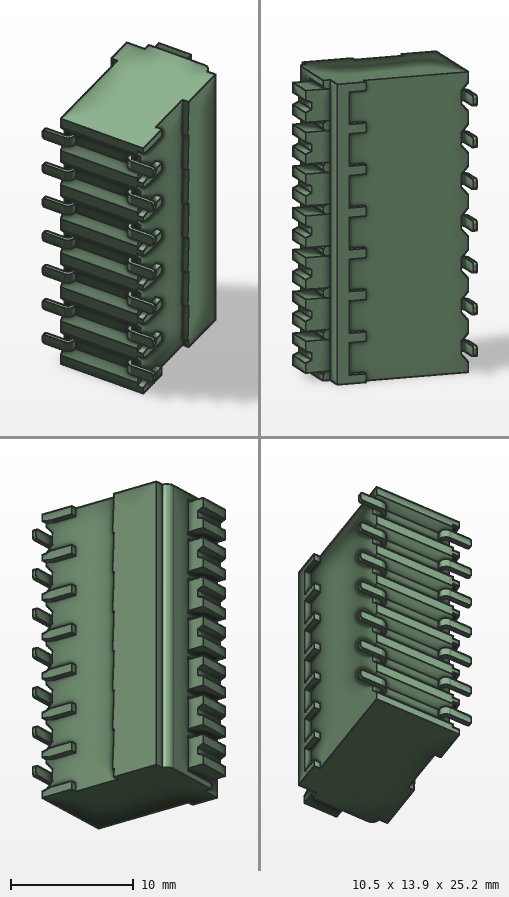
import cadquery as cq
LENGTH = 25.2
POLES = 7
PITCH = 3.5
POLE_HEIGHTS = [(i - (POLES - 1) / 2) * PITCH for i in range(POLES)]
DIVIDER_HEIGHTS = [(i - POLES / 2) * PITCH for i in range(POLES + 1)]

WALL_X = 3.63
FLANGE_X = 4.2
SHOULDER_Y = 11.57
CREST_Y = 12.2
CREST_LEFT = -2.5
CREST_RIGHT = 3.4
CREST_RADIUS = CREST_Y - SHOULDER_Y
LEFT_FLANGE_Y = 10.53
LEFT_RIB_Y = 9.07
RIGHT_FLANGE_Y = 7.25
RIGHT_FLANGE_LEAN = 0.13
RIB_HEIGHT = 0.78
TAB_DEPTH = 3.0
TAB_TIP_HEIGHT = 0.45
TAB_TAPER = 0.83

GROOVE_DEPTH = 0.6
GROOVE_MOUTH = 2.42
GROOVE_FLOOR = 1.05

PLUNGER_LEFT = -2.42
PLUNGER_RIGHT = 0.65
PLUNGER_HEIGHT = 2.67
PLUNGER_Y = 13.68
NOTCH_DEPTH = 0.53
NOTCH_MOUTH = 1.03
NOTCH_FLOOR = 0.55
DIVIDER_CHAMFER = 0.23

PIN_TIP_X = 5.255
PIN_FRONT_Y = -0.18
PIN_THICKNESS = 0.33
PIN_HEIGHT = 0.88
PIN_STEM_X = 2.57
PIN_BEND = 0.63
PIN_TIP_RADIUS = 0.25
PIN_EMBED_Y = 1.5


def box(x0, x1, y0, y1, z0, z1):
    """Axis-aligned block between two corners."""
    return cq.Workplane("XY").box(x1 - x0, y1 - y0, z1 - z0, centered=False).translate((x0, y0, z0))


def side_profile(points, x0, x1):
    """Closed (y, z) outline extruded along X from x0 to x1."""
    return cq.Workplane("YZ", origin=(x0, 0, 0)).polyline(points).close().extrude(x1 - x0)


def trapezoid(y_wide, wide, y_narrow, narrow, z):
    """Symmetric (y, z) trapezoid centred on height z."""
    return [
        (y_wide, z - wide / 2),
        (y_wide, z + wide / 2),
        (y_narrow, z + narrow / 2),
        (y_narrow, z - narrow / 2),
    ]


def housing():
    half = LENGTH / 2
    body = box(-WALL_X, WALL_X, 0, SHOULDER_Y, -half, half)
    body = body.union(box(-FLANGE_X, -WALL_X, LEFT_FLANGE_Y, SHOULDER_Y, -half, half))
    body = body.union(box(WALL_X, FLANGE_X, RIGHT_FLANGE_Y, SHOULDER_Y, -half, half))

    crest = box(CREST_LEFT, CREST_RIGHT, SHOULDER_Y, CREST_Y, -half, half)
    rounding = (
        cq.Workplane("XY", origin=(0, 0, -half))
        .moveTo(CREST_RIGHT - CREST_RADIUS, CREST_Y)
        .radiusArc((CREST_RIGHT, SHOULDER_Y), CREST_RADIUS)
        .lineTo(CREST_RIGHT, CREST_Y)
        .close()
        .extrude(LENGTH)
    )
    return body.union(crest.cut(rounding))


def left_rib(z):
    return box(-FLANGE_X, -WALL_X, LEFT_RIB_Y, LEFT_FLANGE_Y, z - RIB_HEIGHT / 2, z + RIB_HEIGHT / 2)


def right_tab(z):
    """Tab on the right wall, tapered towards its front tip."""
    tip = trapezoid(TAB_TAPER, RIB_HEIGHT, 0, TAB_TIP_HEIGHT, z)
    shank = box(WALL_X, FLANGE_X, TAB_TAPER, TAB_DEPTH, z - RIB_HEIGHT / 2, z + RIB_HEIGHT / 2)
    return shank.union(side_profile(tip, WALL_X, FLANGE_X))


def side_ribs():
    """Left ribs and right tabs on both sides of every pole, flush with the end faces."""
    ribs = cq.Workplane("XY")
    for z in DIVIDER_HEIGHTS:
        ribs = ribs.union(left_rib(z)).union(right_tab(z))
    first, last = DIVIDER_HEIGHTS[0], DIVIDER_HEIGHTS[-1]
    ribs = ribs.union(box(WALL_X, FLANGE_X, 0, TAB_DEPTH, -LENGTH / 2, first))
    ribs = ribs.union(box(WALL_X, FLANGE_X, 0, TAB_DEPTH, last, LENGTH / 2))
    envelope = box(-FLANGE_X, FLANGE_X, 0, SHOULDER_Y, -LENGTH / 2, LENGTH / 2)
    return ribs.intersect(envelope)


def flange_wedge(z):
    """Thin wedge that makes the front edge of the right flange lean forward in one bay."""
    half_bay = (PITCH - RIB_HEIGHT) / 2
    outline = [
        (RIGHT_FLANGE_Y, z + half_bay),
        (RIGHT_FLANGE_Y, z - half_bay),
        (RIGHT_FLANGE_Y - RIGHT_FLANGE_LEAN, z - half_bay),
    ]
    return side_profile(outline, WALL_X, FLANGE_X)


def front_groove(z):
    return side_profile(trapezoid(0, GROOVE_MOUTH, GROOVE_DEPTH, GROOVE_FLOOR, z), -WALL_X, WALL_X)


def plunger_slot(z):
    """Opening through the crest for one plunger, flared at its mouth."""
    flare = trapezoid(CREST_Y, PLUNGER_HEIGHT + 2 * DIVIDER_CHAMFER,
                      CREST_Y - DIVIDER_CHAMFER, PLUNGER_HEIGHT, z)
    mouth = side_profile(flare, CREST_LEFT, PLUNGER_RIGHT)
    opening = box(CREST_LEFT, PLUNGER_RIGHT, SHOULDER_Y, CREST_Y,
                  z - PLUNGER_HEIGHT / 2, z + PLUNGER_HEIGHT / 2)
    return opening.union(mouth)


def plunger(z):
    block = box(PLUNGER_LEFT, PLUNGER_RIGHT, SHOULDER_Y, PLUNGER_Y,
                z - PLUNGER_HEIGHT / 2, z + PLUNGER_HEIGHT / 2)
    notch = trapezoid(PLUNGER_Y, NOTCH_MOUTH, PLUNGER_Y - NOTCH_DEPTH, NOTCH_FLOOR, z)
    return block.cut(side_profile(notch, PLUNGER_LEFT, PLUNGER_RIGHT))


def right_pin():
    """Bent strip: a foot along X that turns back into the housing."""
    bend_inner = PIN_BEND - PIN_THICKNESS
    bend_x = PIN_STEM_X + PIN_BEND
    bend_y = PIN_FRONT_Y + PIN_BEND
    foot_back = PIN_FRONT_Y + PIN_THICKNESS
    stem_outer = PIN_STEM_X + PIN_THICKNESS
    return (
        cq.Workplane("XY", origin=(0, 0, -PIN_HEIGHT / 2))
        .moveTo(PIN_TIP_X, PIN_FRONT_Y)
        .lineTo(bend_x, PIN_FRONT_Y)
        .radiusArc((PIN_STEM_X, bend_y), PIN_BEND)
        .lineTo(PIN_STEM_X, PIN_EMBED_Y)
        .lineTo(stem_outer, PIN_EMBED_Y)
        .lineTo(stem_outer, bend_y)
        .radiusArc((bend_x, foot_back), -bend_inner)
        .lineTo(PIN_TIP_X, foot_back)
        .close()
        .extrude(PIN_HEIGHT)
        .edges("|Y and >X")
        .fillet(PIN_TIP_RADIUS)
    )


result = housing().union(side_ribs())
pin = right_pin()
pin_pair = pin.union(pin.mirror("YZ"))
for height in POLE_HEIGHTS:
    result = result.cut(front_groove(height)).cut(plunger_slot(height))
    result = result.union(plunger(height)).union(flange_wedge(height))
    result = result.union(pin_pair.translate((0, 0, height)))